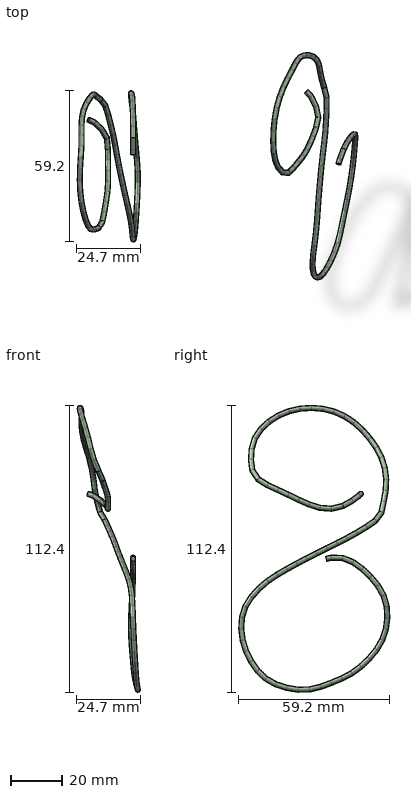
import cadquery as cq

cord_diameter = 2.0
first_piece_length = 2.7
last_piece_length = 1.9
middle_piece_count = 77

centreline_points = [
    (-8.0, 18.2, 21.7),
    (-5.6, 17.1, 20.7),
    (-2.8, 14.5, 18.8),
    (-0.8, 11.2, 17.0),
    (-0.3, 7.0, 15.8),
    (-0.2, -1.6, 17.3),
    (-0.5, -9.7, 21.0),
    (-1.7, -17.6, 24.7),
    (-2.5, -21.7, 27.1),
    (-3.9, -24.2, 30.5),
    (-5.6, -24.8, 34.4),
    (-8.0, -23.5, 43.0),
    (-9.9, -18.0, 49.8),
    (-11.1, -10.1, 54.0),
    (-11.2, -1.1, 55.3),
    (-10.7, 7.8, 53.8),
    (-10.7, 15.4, 49.7),
    (-9.9, 21.8, 43.2),
    (-7.6, 26.3, 35.7),
    (-6.0, 28.1, 27.4),
    (-5.4, 27.9, 22.8),
    (-4.5, 27.1, 18.4),
    (-3.3, 26.2, 14.3),
    (-1.3, 23.7, 11.0),
    (-0.2, 20.1, 8.5),
    (1.7, 12.5, 4.2),
    (3.1, 4.6, 0.2),
    (4.7, -3.4, -3.8),
    (6.4, -11.1, -8.0),
    (8.1, -18.5, -12.7),
    (9.1, -24.6, -18.7),
    (9.3, -27.1, -22.6),
    (9.7, -28.7, -31.4),
    (10.3, -24.7, -44.1),
    (10.8, -18.9, -50.8),
    (11.2, -10.9, -54.3),
    (11.4, -2.0, -55.0),
    (10.7, 6.5, -52.4),
    (10.0, 14.5, -48.7),
    (9.4, 21.4, -42.9),
    (8.9, 26.4, -35.9),
    (8.8, 28.5, -26.9),
    (9.2, 27.1, -18.2),
    (9.4, 22.1, -11.0),
    (9.5, 15.2, -5.2),
    (9.5, 11.2, -3.5),
    (9.5, 6.6, -3.4),
    (9.5, 4.6, -3.8),
]


def joint_distances(total_length):
    """Distances along the centreline of both ends and of every joint between pieces."""
    piece_length = (total_length - first_piece_length - last_piece_length) / middle_piece_count
    joints = [first_piece_length + piece_length * i for i in range(middle_piece_count + 1)]
    return [0.0] + joints + [total_length]


centreline = cq.Edge.makeSpline([cq.Vector(*point) for point in centreline_points])
length = centreline.Length()
joints = [centreline.positionAt(distance / length) for distance in joint_distances(length)]
straight_path = cq.Wire.makePolygon(joints)

radius = cord_diameter / 2
start_direction = joints[1] - joints[0]
meeting_direction = start_direction.cross(cq.Vector(1, 0, 0))
section_plane = cq.Plane(origin=joints[0], xDir=meeting_direction, normal=start_direction)
section = (
    cq.Workplane(section_plane)
    .moveTo(radius, 0)
    .threePointArc((0, radius), (-radius, 0))
    .threePointArc((0, -radius), (radius, 0))
    .close()
)
result = section.sweep(straight_path, transition="right", clean=False)